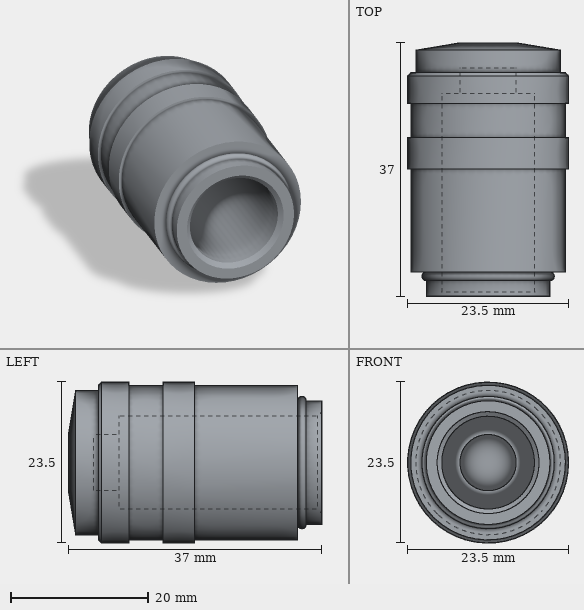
import cadquery as cq

band_radius = 23.5 / 2
body_radius = 11.3
cap_radius = 10.55
dome_flat_radius = 4.1
nose_radius = 9.03
bore_radius = 6.77
recess_radius = dome_flat_radius

total_length = 37.0
body_start = 3.55
lower_band_start = 18.57
lower_band_end = 23.15
upper_band_start = 28.15
upper_band_end = 32.65
dome_start = 35.93
bore_depth = 29.6
recess_depth = 33.3

bead_radius = 0.63
band_chamfer = 0.48
bore_chamfer = 0.65


def cylinder(radius, start, end):
    """Solid cylinder on the Y axis between two positions."""
    plane = cq.Workplane("XZ", origin=(0, start, 0))
    return plane.circle(radius).extrude(start - end)


def revolve_on_axis(profile):
    """Turn a closed XY profile around the Y axis."""
    return profile.close().revolve(360, (0, 0, 0), (0, 1, 0))


nose = cylinder(nose_radius, 0, body_start)
body = cylinder(body_radius, body_start, upper_band_start)
lower_band = cylinder(band_radius, lower_band_start, lower_band_end)
upper_band = cylinder(band_radius, upper_band_start, upper_band_end).faces(">Y").chamfer(band_chamfer)

cap = revolve_on_axis(
    cq.Workplane("XY")
    .moveTo(0, upper_band_end)
    .lineTo(cap_radius, upper_band_end)
    .lineTo(cap_radius, dome_start)
    .lineTo(dome_flat_radius, total_length)
    .lineTo(0, total_length)
)

bead = revolve_on_axis(
    cq.Workplane("XY")
    .moveTo(nose_radius, body_start - 2 * bead_radius)
    .threePointArc(
        (nose_radius + bead_radius, body_start - bead_radius),
        (nose_radius, body_start),
    )
)

barrel = nose.union(body).union(lower_band).union(upper_band).union(cap).union(bead)

bore = revolve_on_axis(
    cq.Workplane("XY")
    .lineTo(bore_radius + bore_chamfer, 0)
    .lineTo(bore_radius, bore_chamfer)
    .lineTo(bore_radius, bore_depth)
    .lineTo(recess_radius, bore_depth)
    .lineTo(recess_radius, recess_depth)
    .lineTo(0, recess_depth)
)

result = barrel.cut(bore)